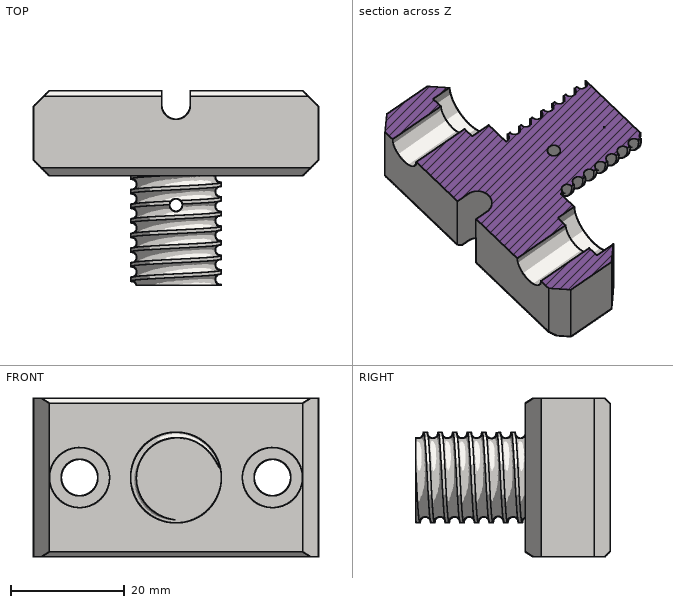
import cadquery as cq
import math

plate_width = 50.28
plate_depth = 15.0
plate_height = 28.0
end_chamfer = 2.8
back_chamfer = 1.0
front_chamfer_depth = 1.4
front_chamfer_height = 0.9

screw_spacing = 34.0
screw_hole_diameter = 6.4
counterbore_diameter = 10.6
counterbore_depth = 3.8

slot_width = 5.0
slot_depth = 5.0

shank_diameter = 16.0
shank_length = 19.3
thread_pitch = 2.575
thread_depth = 1.05
groove_width = 1.95
groove_start = 1.07
groove_overrun_turns = 2
groove_clearance = 0.3

pin_hole_diameter = 2.2
pin_hole_y = -5.15

plate_back = plate_depth
plate_top = plate_height / 2
shank_radius = shank_diameter / 2


def make_plate():
    """Chamfered block: an XY outline intersected with a YZ outline."""
    from_above = (
        cq.Workplane("XY")
        .rect(plate_width, plate_depth)
        .extrude(plate_height)
        .edges("|Z")
        .chamfer(end_chamfer)
        .translate((0, plate_depth / 2, -plate_top))
    )
    upper_outline = [
        (0, plate_top - front_chamfer_height),
        (front_chamfer_depth, plate_top),
        (plate_back - back_chamfer, plate_top),
        (plate_back, plate_top - back_chamfer),
    ]
    lower_outline = [(y, -z) for y, z in reversed(upper_outline)]
    from_side = (
        cq.Workplane("YZ")
        .polyline(upper_outline + lower_outline)
        .close()
        .extrude(plate_width / 2, both=True)
    )
    return from_above.intersect(from_side)


def cut_screw_holes(body):
    """Holes through the plate, counterbored from the front face."""
    centres = [(-screw_spacing / 2, 0), (screw_spacing / 2, 0)]
    front = cq.Workplane("XZ").pushPoints(centres)
    holes = front.circle(screw_hole_diameter / 2).extrude(-plate_depth)
    counterbores = front.circle(counterbore_diameter / 2).extrude(-counterbore_depth)
    return body.cut(holes).cut(counterbores)


def cut_back_slot(body):
    """U-shaped slot open to the back face."""
    radius = slot_width / 2
    arc_y = plate_back - slot_depth + radius
    slot = (
        cq.Workplane("XY")
        .moveTo(-radius, plate_back)
        .lineTo(-radius, arc_y)
        .threePointArc((0, arc_y - radius), (radius, arc_y))
        .lineTo(radius, plate_back)
        .close()
        .extrude(plate_top, both=True)
    )
    return body.cut(slot)


def make_shank():
    """Cylinder with a right-handed round-bottomed thread groove.

    It is modelled along +Z with its tip at Z = 0, then turned so that the tip points to -Y.
    """
    shank = cq.Workplane("XY").circle(shank_radius).extrude(shank_length)

    helix_bottom = groove_start - groove_overrun_turns * thread_pitch
    shank_turns = math.ceil(shank_length / thread_pitch)
    helix_height = (shank_turns + 2 * groove_overrun_turns) * thread_pitch
    helix = cq.Wire.makeHelix(
        thread_pitch, helix_height, shank_radius, center=cq.Vector(0, 0, helix_bottom)
    )

    half_groove = groove_width / 2
    groove = (
        cq.Workplane("XZ")
        .moveTo(shank_radius + groove_clearance, helix_bottom - half_groove)
        .lineTo(shank_radius, helix_bottom - half_groove)
        .threePointArc(
            (shank_radius - thread_depth, helix_bottom),
            (shank_radius, helix_bottom + half_groove),
        )
        .lineTo(shank_radius + groove_clearance, helix_bottom + half_groove)
        .close()
        .sweep(cq.Workplane(helix), isFrenet=True)
    )
    threaded = shank.cut(groove)
    return threaded.rotate((0, 0, 0), (1, 0, 0), -90).translate((0, -shank_length, 0))


def cut_pin_hole(body):
    """Cross hole right through the shank."""
    pin = (
        cq.Workplane("XY")
        .center(0, pin_hole_y)
        .circle(pin_hole_diameter / 2)
        .extrude(shank_diameter, both=True)
    )
    return body.cut(pin)


plate = cut_back_slot(cut_screw_holes(make_plate()))
shank = cut_pin_hole(make_shank())
result = plate.union(shank)